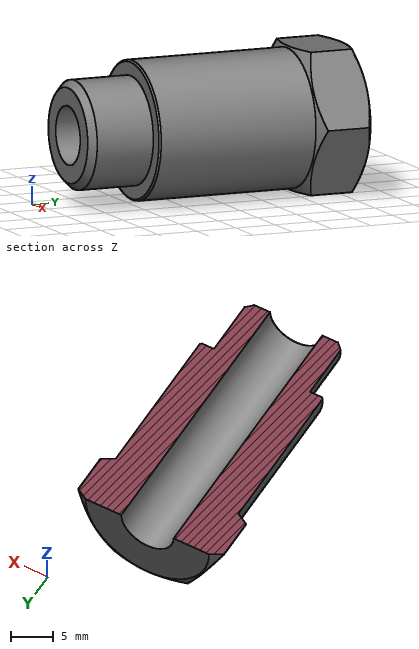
import cadquery as cq
import math

total_length = 35.0
head_length = 7.0
tip_length = 8.0
across_flats = 17.0
body_diameter = 16.6
tip_diameter = 13.0
bore_diameter = 7.0
body_chamfer = 0.2
tip_chamfer = 0.85
head_chamfer_angle = 30.0

across_corners = across_flats / math.cos(math.radians(30))
body_radius = body_diameter / 2
tip_radius = tip_diameter / 2
corner_radius = across_corners / 2
head_start = total_length - head_length
head_chamfer_depth = (corner_radius - body_radius) * math.tan(math.radians(head_chamfer_angle))


def revolve_about_y(profile):
    """Turn a closed (radius, y) outline fully around the Y axis."""
    outline = cq.Workplane("XY").polyline(profile).close()
    return outline.revolve(360, (0, 0, 0), (0, 1, 0))


def make_head():
    """Hexagon with corners on X, chamfered conically at both ends."""
    hexagon = (
        cq.Workplane("XZ", origin=(0, total_length, 0))
        .polygon(6, across_corners)
        .extrude(head_length)
    )
    chamfer_envelope = revolve_about_y([
        (0, head_start),
        (body_radius, head_start),
        (corner_radius, head_start + head_chamfer_depth),
        (corner_radius, total_length - head_chamfer_depth),
        (body_radius, total_length),
        (0, total_length),
    ])
    return hexagon.intersect(chamfer_envelope)


def make_shank():
    """Stepped body and tip, each with a chamfered front edge."""
    return revolve_about_y([
        (0, 0),
        (tip_radius - tip_chamfer, 0),
        (tip_radius, tip_chamfer),
        (tip_radius, tip_length),
        (body_radius - body_chamfer, tip_length),
        (body_radius, tip_length + body_chamfer),
        (body_radius, head_start),
        (0, head_start),
    ])


def make_bore():
    """Straight hole through the full length."""
    return (
        cq.Workplane("XZ", origin=(0, total_length, 0))
        .circle(bore_diameter / 2)
        .extrude(total_length)
    )


result = make_head().union(make_shank()).cut(make_bore())